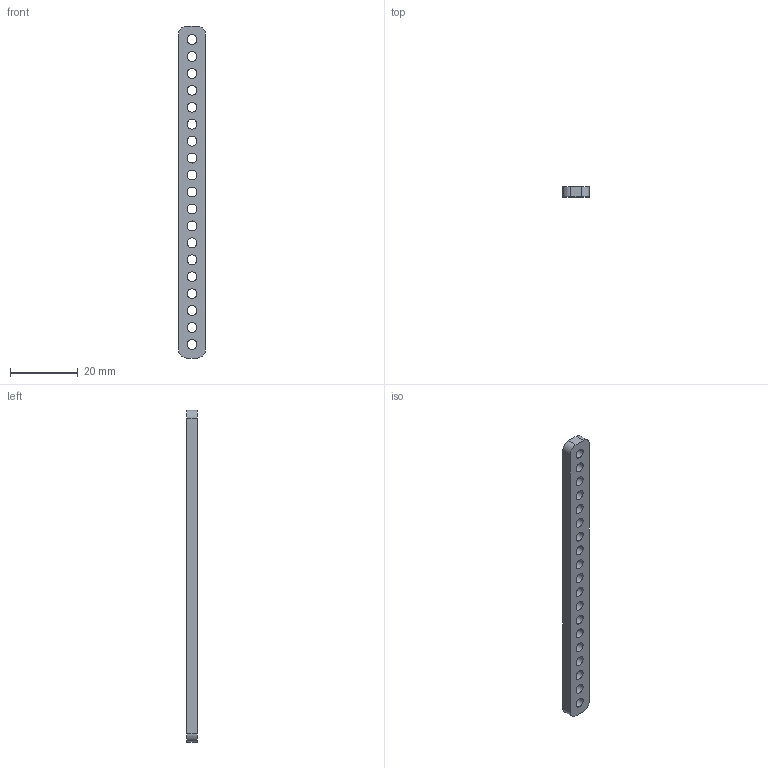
import cadquery as cq

WIDTH = 8.0
THICKNESS = 3.0
CORNER_RADIUS = 2.5
HOLE_COUNT = 19
HOLE_PITCH = 5.0
HOLE_DIAMETER = 2.9

END_MARGIN = WIDTH / 2
LENGTH = (HOLE_COUNT - 1) * HOLE_PITCH + 2 * END_MARGIN


def make_strip():
    """Flat strip standing along Z, with rounded corners."""
    return cq.Workplane("XY").box(WIDTH, THICKNESS, LENGTH).edges("|Y").fillet(CORNER_RADIUS)


def drill_holes(strip):
    """Cut the single row of evenly spaced through holes."""
    return (
        strip.faces("<Y")
        .workplane(centerOption="CenterOfBoundBox")
        .rarray(WIDTH, HOLE_PITCH, 1, HOLE_COUNT)
        .hole(HOLE_DIAMETER)
    )


result = drill_holes(make_strip())